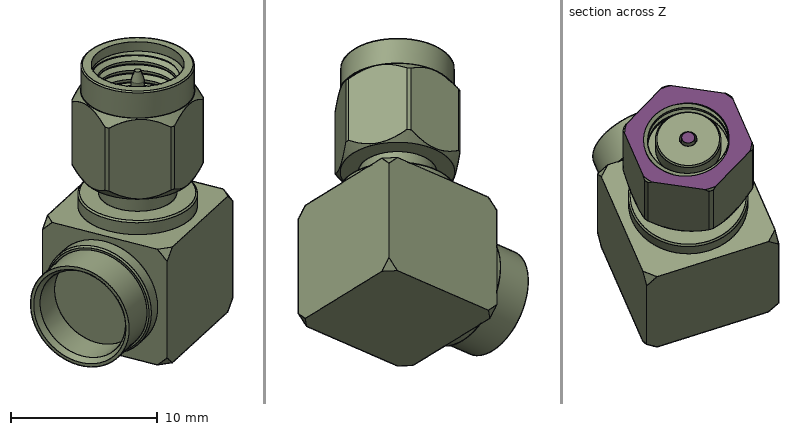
import cadquery as cq
import math


BODY_SIDE = 9.6
BODY_HEIGHT = 9.0
CORNER_CUT = 0.75

COLLAR_DIAMETER = 8.15
COLLAR_LENGTH = 1.04
COLLAR_CHAMFER = 0.12

BARREL_REACH = 3.64
BARREL_DIAMETER = 7.6
BARREL_MOUTH_DIAMETER = 7.1
BARREL_BORE_DIAMETER = 6.57
BARREL_LEAD_IN = 0.43
BARREL_DEPTH = 2.55
BARREL_AXIS_Z = BODY_HEIGHT / 2

TOP_Z = 20.0
NECK_DIAMETER = 5.35
HEX_BOTTOM_Z = 11.65
HEX_TOP_Z = 17.95
HEX_SIDES = 6
HEX_FLATS = 7.9
HEX_ROUND_DIAMETER = 8.95
HEX_END_DIAMETER = 7.8
HEX_END_HEIGHT = 0.7
SLEEVE_DIAMETER = 7.73
SLEEVE_CHAMFER = 0.1

THREAD_MAJOR_RADIUS = 3.14
THREAD_MINOR_RADIUS = 2.76
THREAD_PITCH = 25.4 / 36
THREAD_CREST = 0.2
THREAD_FLANK_ANGLE = 30
THREAD_OVERLAP = 0.1
THREAD_PHASE_ANGLE = 45
THREAD_TURN_Z = 18.11
MOUTH_RADIUS = 3.16
MOUTH_DEPTH = 0.73
MOUTH_CHAMFER = MOUTH_RADIUS - THREAD_MINOR_RADIUS
SOCKET_DEPTH = 4.0

INSERT_DIAMETER = 4.46
INSERT_CHAMFER = 0.1
INSERT_TOP_DEPTH = 2.8
PIN_GAP_DIAMETER = 1.17
PIN_DIAMETER = 0.92
PIN_TIP_DIAMETER = 0.45
PIN_TIP_DEPTH = 0.48
PIN_CONE_LENGTH = 0.76
PIN_ROOT_LENGTH = 0.2

SOCKET_FLOOR_Z = TOP_Z - SOCKET_DEPTH


def upright_cylinder(diameter, bottom_z, top_z):
    """Cylinder on the Z axis."""
    return cq.Workplane("XY").workplane(offset=bottom_z).circle(diameter / 2).extrude(top_z - bottom_z)


def revolved_profile(points):
    """Revolve a closed (radius, height) outline about the Z axis."""
    return cq.Workplane("XZ").polyline(points).close().revolve(360, (0, 0, 0), (0, 1, 0))


def corner_wedge(x_sign, y_sign, z_sign):
    """Tetrahedron that cuts one vertex off the body."""
    half = BODY_SIDE / 2
    corner = cq.Vector(x_sign * half, y_sign * half, BODY_HEIGHT * (1 + z_sign) / 2)
    along_x = corner - cq.Vector(x_sign * CORNER_CUT, 0, 0)
    along_y = corner - cq.Vector(0, y_sign * CORNER_CUT, 0)
    along_z = corner - cq.Vector(0, 0, z_sign * CORNER_CUT)
    triangles = [
        (along_x, along_y, along_z),
        (corner, along_x, along_y),
        (corner, along_y, along_z),
        (corner, along_z, along_x),
    ]
    faces = [cq.Face.makeFromWires(cq.Wire.makePolygon(list(t), close=True)) for t in triangles]
    return cq.Workplane(cq.Solid.makeSolid(cq.Shell.makeShell(faces)))


def make_body():
    body = cq.Workplane("XY").box(BODY_SIDE, BODY_SIDE, BODY_HEIGHT, centered=(True, True, False))
    for x_sign in (-1, 1):
        for y_sign in (-1, 1):
            for z_sign in (-1, 1):
                body = body.cut(corner_wedge(x_sign, y_sign, z_sign))
    return body


def make_collar():
    """Collar standing on Z = 0 with a chamfered outer rim."""
    collar = upright_cylinder(COLLAR_DIAMETER, 0, COLLAR_LENGTH)
    return collar.faces(">Z").edges().chamfer(COLLAR_CHAMFER)


def make_barrel():
    """Collar and open barrel, built along Z and then turned to point along -Y."""
    floor = BARREL_REACH - BARREL_DEPTH
    bore_end = BARREL_REACH - BARREL_LEAD_IN
    barrel = make_collar().union(upright_cylinder(BARREL_DIAMETER, 0, BARREL_REACH))
    bore = revolved_profile([
        (0, floor),
        (BARREL_BORE_DIAMETER / 2, floor),
        (BARREL_BORE_DIAMETER / 2, bore_end),
        (BARREL_MOUTH_DIAMETER / 2, BARREL_REACH),
        (0, BARREL_REACH),
    ])
    barrel = barrel.cut(bore).rotate((0, 0, 0), (1, 0, 0), 90)
    return barrel.translate((0, -BODY_SIDE / 2, BARREL_AXIS_Z))


def make_hexagon():
    """Hexagon with corners on the Y axis, rounded edges and coned ends."""
    hexagon = (
        cq.Workplane("XY").workplane(offset=HEX_BOTTOM_Z)
        .polygon(HEX_SIDES, HEX_FLATS, circumscribed=True)
        .extrude(HEX_TOP_Z - HEX_BOTTOM_Z)
    )
    envelope = revolved_profile([
        (0, HEX_BOTTOM_Z),
        (HEX_END_DIAMETER / 2, HEX_BOTTOM_Z),
        (HEX_ROUND_DIAMETER / 2, HEX_BOTTOM_Z + HEX_END_HEIGHT),
        (HEX_ROUND_DIAMETER / 2, HEX_TOP_Z - HEX_END_HEIGHT),
        (HEX_END_DIAMETER / 2, HEX_TOP_Z),
        (0, HEX_TOP_Z),
    ])
    return hexagon.intersect(envelope)


def make_thread_groove():
    """Helical V groove that reaches from the socket floor up into the mouth."""
    slope = math.tan(math.radians(THREAD_FLANK_ANGLE))
    inner_radius = THREAD_MINOR_RADIUS - THREAD_OVERLAP
    mouth_half_height = (THREAD_PITCH - THREAD_CREST) / 2
    inner_half_height = mouth_half_height + THREAD_OVERLAP * slope
    root_half_height = mouth_half_height - (THREAD_MAJOR_RADIUS - THREAD_MINOR_RADIUS) * slope
    turns_below = math.ceil((THREAD_TURN_Z - SOCKET_FLOOR_Z) / THREAD_PITCH) + 1
    turns_above = math.ceil((TOP_Z - MOUTH_DEPTH - THREAD_TURN_Z) / THREAD_PITCH)
    height = (turns_below + turns_above) * THREAD_PITCH
    helix = cq.Workplane(cq.Wire.makeHelix(THREAD_PITCH, height, THREAD_MINOR_RADIUS))
    groove = (
        cq.Workplane("XZ")
        .polyline([
            (inner_radius, -inner_half_height),
            (THREAD_MAJOR_RADIUS, -root_half_height),
            (THREAD_MAJOR_RADIUS, root_half_height),
            (inner_radius, inner_half_height),
        ])
        .close()
        .sweep(helix, isFrenet=True)
    )
    groove = groove.rotate((0, 0, 0), (0, 0, 1), THREAD_PHASE_ANGLE)
    return groove.translate((0, 0, THREAD_TURN_Z - turns_below * THREAD_PITCH))


def make_socket():
    """Void inside the nut: plain mouth, chamfer, threaded bore."""
    mouth_z = TOP_Z - MOUTH_DEPTH
    bore = revolved_profile([
        (0, SOCKET_FLOOR_Z),
        (THREAD_MINOR_RADIUS, SOCKET_FLOOR_Z),
        (THREAD_MINOR_RADIUS, mouth_z - MOUTH_CHAMFER),
        (MOUTH_RADIUS, mouth_z),
        (MOUTH_RADIUS, TOP_Z),
        (0, TOP_Z),
    ])
    thread_zone = upright_cylinder(SLEEVE_DIAMETER, SOCKET_FLOOR_Z, mouth_z)
    return bore.union(make_thread_groove().intersect(thread_zone))


def make_insert():
    """Chamfered disc in the socket with a clearance hole for the pin."""
    top_z = TOP_Z - INSERT_TOP_DEPTH
    insert = upright_cylinder(INSERT_DIAMETER, SOCKET_FLOOR_Z, top_z)
    insert = insert.faces(">Z").edges().chamfer(INSERT_CHAMFER)
    return insert.cut(upright_cylinder(PIN_GAP_DIAMETER, SOCKET_FLOOR_Z, top_z))


def make_pin():
    """Centre pin with a blunt conical tip, rooted below the socket floor."""
    root_z = SOCKET_FLOOR_Z - PIN_ROOT_LENGTH
    tip_z = TOP_Z - PIN_TIP_DEPTH
    return revolved_profile([
        (0, root_z),
        (PIN_DIAMETER / 2, root_z),
        (PIN_DIAMETER / 2, tip_z - PIN_CONE_LENGTH),
        (PIN_TIP_DIAMETER / 2, tip_z),
        (0, tip_z),
    ])


def make_nut():
    sleeve = upright_cylinder(SLEEVE_DIAMETER, HEX_BOTTOM_Z, TOP_Z)
    sleeve = sleeve.faces(">Z").edges().chamfer(SLEEVE_CHAMFER)
    nut = make_hexagon().union(sleeve)
    return nut.cut(make_socket()).union(make_insert()).union(make_pin())


neck = upright_cylinder(NECK_DIAMETER, BODY_HEIGHT, HEX_BOTTOM_Z)
top_collar = make_collar().translate((0, 0, BODY_HEIGHT))

result = make_body().union(make_barrel()).union(top_collar).union(neck).union(make_nut())